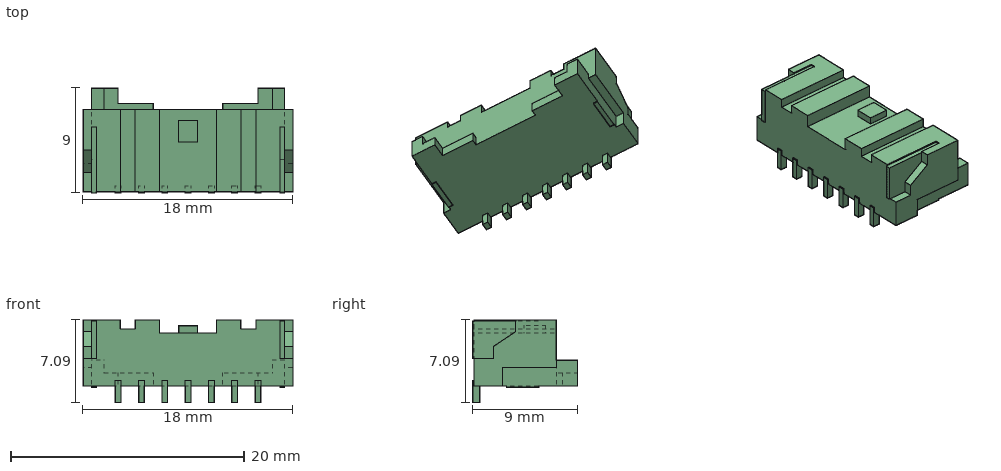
import cadquery as cq

BODY_WIDTH = 18
BODY_DEPTH = 7.07
BODY_HEIGHT = 5.69

CENTRE_CHANNEL_WIDTH = 4.86
CENTRE_CHANNEL_DEPTH = 1.12
GROOVE_WIDTH = 1.28
GROOVE_DEPTH = 0.77
GROOVE_OFFSET = 5.17

BLOCK_WIDTH = 1.64
BLOCK_DEPTH = 1.84
BLOCK_HEIGHT = 0.61
BLOCK_FRONT = 4.3

END_CUT = 0.72
CUT_TOP_Y = 3.58
CUT_BEVEL_TOP_Z = 4.68
CUT_BEVEL_LOW_Z = 3.4
CUT_LOW_Y = 1.67
CUT_FLOOR_Z = 2.4
FOOT_CUT_FRONT = 2.45
FOOT_CUT_HEIGHT = 1.62

LEDGE_BACK = 8.9
LEDGE_HEIGHT = 2.23
LOW_LEDGE_HEIGHT = LEDGE_HEIGHT / 2
LEDGE_OUTER_X = BODY_WIDTH / 2 - END_CUT
LEDGE_STEP_X = 7.22
LEDGE_INNER_X = 6.0
TONGUE_INNER_X = 2.97
TONGUE_BACK = 7.6

PROUD = 0.1
PLATE_THICKNESS = 0.41
PLATE_BACK = 5.58
PLATE_FOOT_FRONT = 2.79
PLATE_TOP_Z = BODY_HEIGHT - PROUD
PLATE_OUTER_X = LEDGE_OUTER_X
PLATE_INNER_X = PLATE_OUTER_X - PLATE_THICKNESS

PIN_COUNT = 7
PIN_PITCH = 2.0
PIN_WIDTH = 0.5
PIN_DEPTH = 0.63
PIN_TOP_Z = 0.5
PIN_BOTTOM_Z = -1.4


def box(x_min, x_max, y_min, y_max, z_min, z_max):
    """Box given by its limits along each axis."""
    size = (x_max - x_min, y_max - y_min, z_max - z_min)
    return cq.Workplane("XY").box(*size, centered=False).translate((x_min, y_min, z_min))


def both_ends(shape):
    """The shape together with its mirror image across the mid-plane."""
    return shape.union(shape.mirror("YZ"))


def top_channel(centre_x, width, depth):
    x_min = centre_x - width / 2
    return box(x_min, x_min + width, 0, BODY_DEPTH, BODY_HEIGHT - depth, BODY_HEIGHT)


def upper_end_cut():
    """Bevelled corner cut, open to the front, top and end."""
    outline = [
        (0, BODY_HEIGHT),
        (CUT_TOP_Y, BODY_HEIGHT),
        (CUT_TOP_Y, CUT_BEVEL_TOP_Z),
        (CUT_LOW_Y, CUT_BEVEL_LOW_Z),
        (CUT_LOW_Y, CUT_FLOOR_Z),
        (0, CUT_FLOOR_Z),
    ]
    cut = cq.Workplane("YZ").polyline(outline).close().extrude(END_CUT)
    return cut.translate((BODY_WIDTH / 2 - END_CUT, 0, 0))


def lower_end_cut():
    end_x = BODY_WIDTH / 2
    return box(end_x - END_CUT, end_x, FOOT_CUT_FRONT, BODY_DEPTH, 0, FOOT_CUT_HEIGHT)


def plate_slot():
    """Shallow slot above the top edge of a retaining plate."""
    return box(PLATE_INNER_X, PLATE_OUTER_X, 0, PLATE_BACK, PLATE_TOP_Z, BODY_HEIGHT)


def housing():
    body = box(-BODY_WIDTH / 2, BODY_WIDTH / 2, 0, BODY_DEPTH, 0, BODY_HEIGHT)
    body = body.cut(top_channel(0, CENTRE_CHANNEL_WIDTH, CENTRE_CHANNEL_DEPTH))
    groove = top_channel(GROOVE_OFFSET, GROOVE_WIDTH, GROOVE_DEPTH)
    for cut in (groove, upper_end_cut(), lower_end_cut(), plate_slot()):
        body = body.cut(both_ends(cut))
    return body


def raised_block():
    floor_z = BODY_HEIGHT - CENTRE_CHANNEL_DEPTH
    block_back = BLOCK_FRONT + BLOCK_DEPTH
    return box(-BLOCK_WIDTH / 2, BLOCK_WIDTH / 2, BLOCK_FRONT, block_back, floor_z, floor_z + BLOCK_HEIGHT)


def rear_ledge():
    tall_step = box(LEDGE_STEP_X, LEDGE_OUTER_X, BODY_DEPTH, LEDGE_BACK, 0, LEDGE_HEIGHT)
    low_step = box(LEDGE_INNER_X, LEDGE_STEP_X, BODY_DEPTH, LEDGE_BACK, 0, LOW_LEDGE_HEIGHT)
    tongue = box(TONGUE_INNER_X, LEDGE_INNER_X, BODY_DEPTH, TONGUE_BACK, 0, LOW_LEDGE_HEIGHT)
    return tall_step.union(low_step).union(tongue)


def retaining_plate():
    """Upright plate, proud of the front face, with a foot below the underside."""
    upper = box(PLATE_INNER_X, PLATE_OUTER_X, -PROUD, PLATE_BACK, CUT_FLOOR_Z, PLATE_TOP_Z)
    foot = box(PLATE_INNER_X, PLATE_OUTER_X, PLATE_FOOT_FRONT, PLATE_BACK, -PROUD, CUT_FLOOR_Z)
    return upper.union(foot)


def contact_pin(centre_x):
    x_min = centre_x - PIN_WIDTH / 2
    return box(x_min, x_min + PIN_WIDTH, -PROUD, PIN_DEPTH - PROUD, PIN_BOTTOM_Z, PIN_TOP_Z)


result = housing().union(raised_block())
result = result.union(both_ends(rear_ledge()))
result = result.union(both_ends(retaining_plate()))
for index in range(PIN_COUNT):
    result = result.union(contact_pin((index - (PIN_COUNT - 1) / 2) * PIN_PITCH))